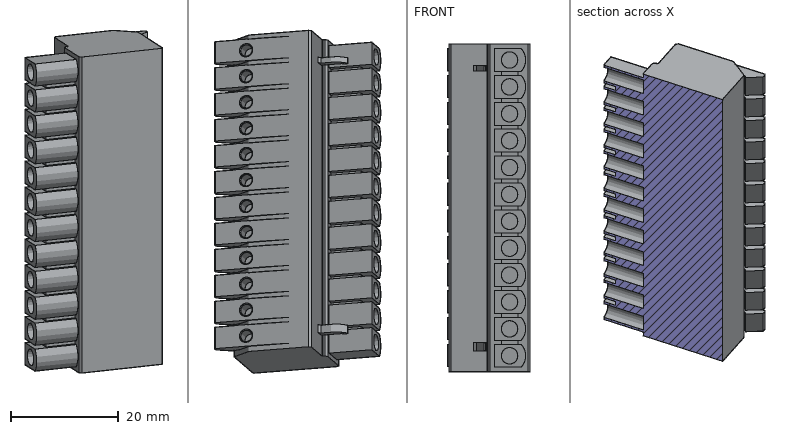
import cadquery as cq


height = 60.9
pole_count = 12
pitch = 5.0
first_pole_z = (height - (pole_count - 1) * pitch) / 2
pole_heights = [first_pole_z + i * pitch for i in range(pole_count)]

body_left = 0.3
body_right = 15.4
body_back = 25.0
body_front = 8.3
step_x = 7.55
step_y = 9.25
slope_x = 3.15
slope_y = 21.25
edge_chamfer = 0.4
step_inner_chamfer = 0.2
back_chamfer = 0.2
slope_fillet = 0.8

finger_left = 8.75
finger_flat_end = 13.7
finger_right = 14.55
finger_height = 4.25
socket_x = 11.55
socket_diameter = 3.05
socket_depth = body_front
web_thickness = socket_diameter
web_front = 2.45

lever_back = 27.9
lever_height = 4.15
lever_drop = 2.0
lever_tip_width = 1.0
lever_tip_chamfer = 0.2
lever_nose = (2.6, 25.1)
lever_neck_x = 2.25
lever_neck_y = 24.8
ramp_start_y = 17.95
ramp_end_y = 13.65
lever_hole_y = 21.75
lever_hole_diameter = 2.2
lever_hole_rim_diameter = 2.55
lever_hole_depth = 3.05

latches = [(3.9, 1.5), (55.8, 1.05)]
latch_left = 5.4
latch_right = 6.95
latch_foot = (0.55, 0.35)
latch_taper_y = 6.8
latch_slant_start = (5.65, 5.4)
latch_slant_fillet = 0.5
latch_tip_y = 4.15
latch_tip_left = 6.8
hook_right = 7.3
hook_chamfer = 0.25
hook_back = 5.05
hook_shoulder = 5.3


def make_body():
    """Stepped housing with a sloped back corner and broken edges."""
    outline = (
        cq.Workplane("XY")
        .moveTo(body_left, step_y)
        .lineTo(step_x, step_y)
        .lineTo(step_x, body_front)
        .lineTo(body_right, body_front)
        .lineTo(body_right, body_back)
        .lineTo(slope_x, body_back)
        .lineTo(body_left, slope_y)
        .close()
    )
    body = outline.extrude(height)

    def upright_edge(x, y):
        return cq.selectors.NearestToPointSelector((x, y, height / 2))

    for x, y in [(body_left, step_y), (step_x, body_front), (body_right, body_front)]:
        body = body.edges(upright_edge(x, y)).chamfer(edge_chamfer)
    body = body.edges(upright_edge(step_x, step_y)).chamfer(step_inner_chamfer)
    body = body.edges(upright_edge(body_right, body_back)).chamfer(back_chamfer)
    return body.edges(upright_edge(body_left, slope_y)).fillet(slope_fillet)


def make_finger(z):
    """Plug finger with a bowed right side, centred on height z."""
    half = finger_height / 2
    return (
        cq.Workplane("XZ")
        .moveTo(finger_left, z - half)
        .lineTo(finger_flat_end, z - half)
        .threePointArc((finger_right, z), (finger_flat_end, z + half))
        .lineTo(finger_left, z + half)
        .close()
        .extrude(-body_front)
    )


def make_socket(z):
    """Blind contact socket in the front of a finger."""
    return cq.Workplane("XZ").center(socket_x, z).circle(socket_diameter / 2).extrude(-socket_depth)


def make_web():
    """Web that ties all the fingers together."""
    web_length = body_front - web_front
    web_height = pole_heights[-1] - pole_heights[0]
    web = cq.Workplane("XY").box(web_thickness, web_length, web_height)
    return web.translate((socket_x, web_front + web_length / 2, height / 2))


def make_lever(z):
    """Release lever on the left face, overhanging the sloped corner and ramping down to the front."""
    return (
        cq.Workplane("XY")
        .workplane(offset=z - lever_drop)
        .moveTo(body_left, ramp_end_y)
        .lineTo(0, ramp_start_y)
        .lineTo(0, lever_back - lever_tip_chamfer)
        .lineTo(lever_tip_chamfer, lever_back)
        .lineTo(lever_tip_width, lever_back)
        .lineTo(*lever_nose)
        .lineTo(lever_neck_x, lever_neck_y)
        .lineTo(lever_neck_x, ramp_end_y)
        .close()
        .extrude(lever_height)
    )


def make_lever_hole(z):
    """Blind hole in the left face of a lever, with a bevelled rim."""
    rim = (lever_hole_rim_diameter - lever_hole_diameter) / 2
    face = cq.Workplane("YZ").center(lever_hole_y, z)
    bore = face.circle(lever_hole_diameter / 2).extrude(lever_hole_depth)
    bevel = (
        face.circle(lever_hole_rim_diameter / 2)
        .workplane(offset=rim)
        .circle(lever_hole_diameter / 2)
        .loft()
    )
    return bore.union(bevel)


def make_latch(z, thickness):
    """Latch hook standing on the recessed front face, next to the step."""
    foot_width, foot_length = latch_foot
    inside_y = step_y + edge_chamfer
    latch = (
        cq.Workplane("XY")
        .workplane(offset=z)
        .moveTo(latch_left - foot_width, inside_y)
        .lineTo(latch_left - foot_width, step_y)
        .lineTo(latch_left, step_y - foot_length)
        .lineTo(latch_left, latch_taper_y)
        .lineTo(*latch_slant_start)
        .lineTo(latch_tip_left, latch_tip_y)
        .lineTo(hook_right - hook_chamfer, latch_tip_y)
        .lineTo(hook_right, latch_tip_y + hook_chamfer)
        .lineTo(hook_right, hook_back)
        .lineTo(latch_right, hook_shoulder)
        .lineTo(latch_right, inside_y)
        .close()
        .extrude(thickness)
    )
    slant_edge = cq.selectors.NearestToPointSelector((*latch_slant_start, z + thickness / 2))
    return latch.edges(slant_edge).fillet(latch_slant_fillet)


result = make_body().union(make_web())
for pole_z in pole_heights:
    result = result.union(make_finger(pole_z)).union(make_lever(pole_z))
for pole_z in pole_heights:
    result = result.cut(make_socket(pole_z)).cut(make_lever_hole(pole_z))
for latch_z, latch_thickness in latches:
    result = result.union(make_latch(latch_z, latch_thickness))